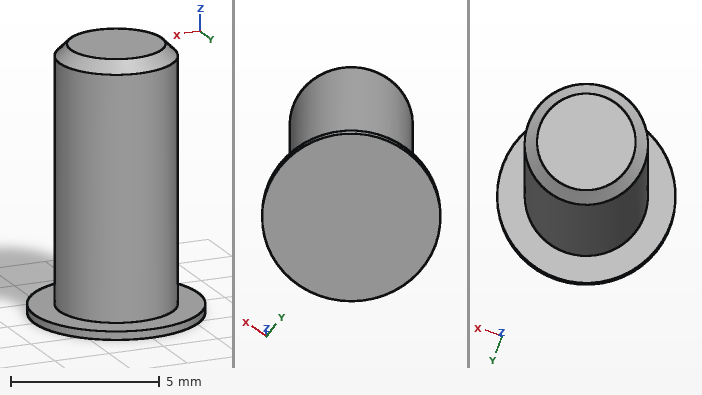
import cadquery as cq

total_height = 9.53
flange_diameter = 6.02
flange_thickness = 0.305
shank_diameter = 4.16
tip_chamfer = 0.42

shank_height = total_height - flange_thickness

flange = cq.Workplane("XY").circle(flange_diameter / 2).extrude(flange_thickness)

shank = (
    cq.Workplane("XY")
    .workplane(offset=flange_thickness)
    .circle(shank_diameter / 2)
    .extrude(shank_height)
    .faces(">Z")
    .chamfer(tip_chamfer)
)

result = flange.union(shank)